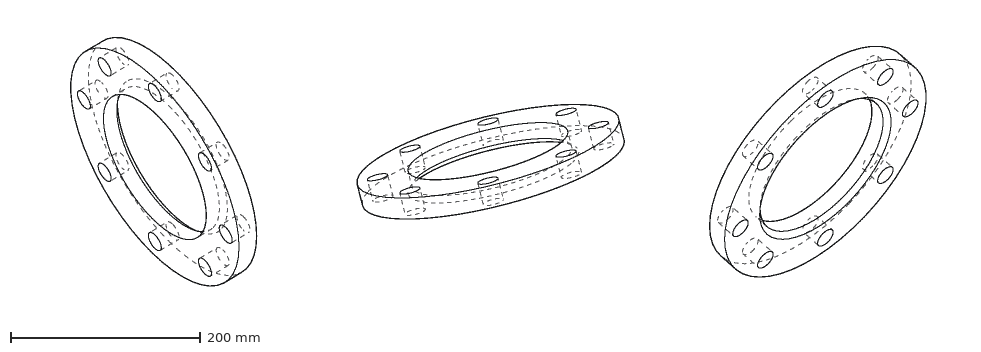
import cadquery as cq

outer_diameter = 285.0
bore_diameter = 173.8
thickness = 24.0

bore_chamfer = 6.0

bolt_circle_diameter = 240.0
bolt_hole_diameter = 22.0
bolt_hole_count = 8

ring = (
    cq.Workplane("XZ", origin=(0, thickness / 2, 0))
    .circle(outer_diameter / 2)
    .circle(bore_diameter / 2)
    .extrude(thickness)
)

ring = ring.faces(">Y").edges(cq.selectors.RadiusNthSelector(0)).chamfer(bore_chamfer)

bolt_holes = (
    cq.Workplane("XZ", origin=(0, thickness / 2, 0))
    .polarArray(bolt_circle_diameter / 2, 0, 360, bolt_hole_count)
    .circle(bolt_hole_diameter / 2)
    .extrude(thickness)
)

result = ring.cut(bolt_holes)